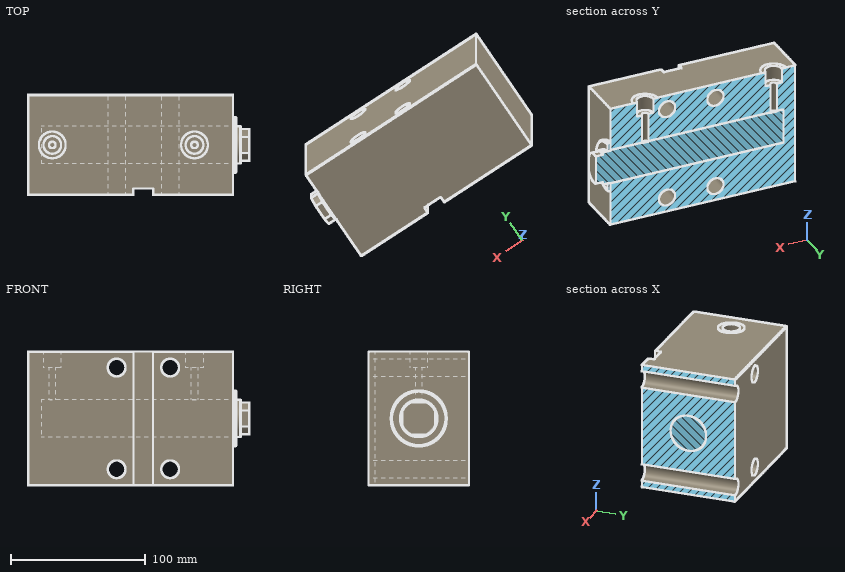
import cadquery as cq

TOTAL_LENGTH = 165.0

ROD_PROJECTION = 12.0
HOUSING_LENGTH = TOTAL_LENGTH - ROD_PROJECTION
HOUSING_WIDTH = 75.0
HOUSING_HEIGHT = 100.0
EDGE_CHAMFER = 0.5

SLOT_START = 78.5
SLOT_WIDTH = 14.7
SLOT_DEPTH = 5.0

MOUNT_HOLE_DIAMETER = 13.0
MOUNT_HOLE_X = (66.0, 106.0)
MOUNT_HOLE_Z = 38.0

PORT_X = (18.0, 124.0)
SPOT_FACE_DIAMETER = 20.0
SPOT_FACE_DEPTH = 0.1
PORT_DIAMETER = 13.2
PORT_DEPTH = 12.0
OIL_DUCT_DIAMETER = 5.0

ROD_DIAMETER = 28.0
ROD_START = 10.0
ROD_CHAMFER = 0.7
FLATS_LENGTH = 6.1
FLATS_SIZE = 24.0

GLAND_DIAMETER = 41.9
GLAND_THICKNESS = 2.5
GLAND_CHAMFER = 1.0


def x_cylinder(diameter, start, end):
    """Cylinder on the rod axis, its seam line along the top (+Z)."""
    plane = cq.Plane(origin=(start, 0, 0), xDir=(0, 0, 1), normal=(1, 0, 0))
    return cq.Workplane(plane).circle(diameter / 2).extrude(end - start)


def top_hole(x, diameter, depth):
    """Vertical round cutter going down from the top face."""
    top_plane = cq.Workplane("XY", origin=(x, 0, HOUSING_HEIGHT / 2))
    return top_plane.circle(diameter / 2).extrude(-depth)


def make_housing():
    block = cq.Workplane("XY").box(
        HOUSING_LENGTH, HOUSING_WIDTH, HOUSING_HEIGHT, centered=(False, True, True)
    )
    block = block.edges("|X").chamfer(EDGE_CHAMFER)

    slot = cq.Workplane("XY").box(
        SLOT_WIDTH, SLOT_DEPTH, HOUSING_HEIGHT, centered=(False, False, True)
    )
    block = block.cut(slot.translate((SLOT_START, -HOUSING_WIDTH / 2, 0)))

    hole_centers = [(x, z) for x in MOUNT_HOLE_X for z in (-MOUNT_HOLE_Z, MOUNT_HOLE_Z)]
    mount_holes = (
        cq.Workplane("XZ")
        .pushPoints(hole_centers)
        .circle(MOUNT_HOLE_DIAMETER / 2)
        .extrude(HOUSING_WIDTH / 2, both=True)
    )
    block = block.cut(mount_holes)

    block = block.cut(x_cylinder(ROD_DIAMETER, ROD_START, HOUSING_LENGTH))

    for x in PORT_X:
        block = block.cut(top_hole(x, SPOT_FACE_DIAMETER, SPOT_FACE_DEPTH))
        block = block.cut(top_hole(x, PORT_DIAMETER, PORT_DEPTH))
        block = block.cut(top_hole(x, OIL_DUCT_DIAMETER, HOUSING_HEIGHT / 2))
    return block


def make_rod():
    round_end = TOTAL_LENGTH - FLATS_LENGTH
    rod = x_cylinder(ROD_DIAMETER, ROD_START, round_end)
    rod = rod.faces(">X").edges().chamfer(ROD_CHAMFER)

    stub = x_cylinder(ROD_DIAMETER - 2 * ROD_CHAMFER, round_end, TOTAL_LENGTH)
    square = cq.Workplane("XY").box(
        FLATS_LENGTH, FLATS_SIZE, FLATS_SIZE, centered=(False, True, True)
    )
    return rod.union(stub.intersect(square.translate((round_end, 0, 0))))


def make_gland():
    gland_end = HOUSING_LENGTH + GLAND_THICKNESS
    ring = x_cylinder(GLAND_DIAMETER, HOUSING_LENGTH, gland_end)
    ring = ring.faces(">X").edges().chamfer(GLAND_CHAMFER)
    return ring.cut(x_cylinder(ROD_DIAMETER, HOUSING_LENGTH, gland_end))


housing = make_housing()
rod = make_rod()
gland = make_gland()

result = cq.Compound.makeCompound([
    housing.solids().val(),
    rod.solids().val(),
    gland.solids().val(),
])